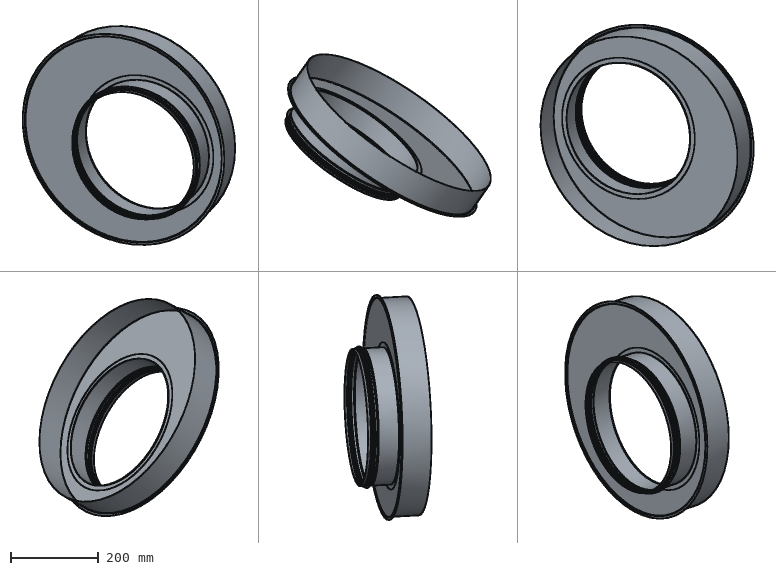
import cadquery as cq

SHEET = 0.5
PLATE_THICKNESS = 1.5
COLLAR_OFFSET = 61.5

SLEEVE_OUTER_R = 501.5 / 2
SLEEVE_INNER_R = SLEEVE_OUTER_R - SHEET
HEM_OUTER_R = 515.5 / 2
HEM_LIP_INNER_R = 503.5 / 2
HEM_FRONT_Y = -SHEET
HEM_BACK_Y = PLATE_THICKNESS + SHEET
HEM_BEND_R = (HEM_BACK_Y - HEM_FRONT_Y) / 2
PLATE_EDGE_BEND_R = HEM_BEND_R - SHEET
PLATE_R = HEM_OUTER_R - SHEET

COLLAR_OUTER_R = 315.0 / 2
COLLAR_INNER_R = COLLAR_OUTER_R - SHEET
COLLAR_FLANGE_R = 337.5 / 2
GROOVE_R = 310.5 / 2
MOUTH_LIP_R = 308.5 / 2
MOUTH_BEND = 2.0

TOTAL_LENGTH = 142.0
COLLAR_LENGTH = 71.5
MOUTH_Y = -COLLAR_LENGTH
SLEEVE_END_Y = MOUTH_Y + TOTAL_LENGTH
GROOVE_START_Y = MOUTH_Y + 25.0
GROOVE_FLOOR_START_Y = MOUTH_Y + 22.0
GROOVE_FLOOR_END_Y = MOUTH_Y + 8.0
GROOVE_END_Y = MOUTH_Y + 6.5

SEAL_R = 313.0 / 2
TALL_FIN_R = 324.5 / 2
SHORT_FIN_R = 319.0 / 2
FIN_WIDTH = 1.5
SEAL_START_Y = MOUTH_Y + 16.5
SHORT_FIN_Y = MOUTH_Y + 11.5
SHORT_FIN_ROOT_Y = GROOVE_FLOOR_END_Y


def revolve_about_y(profile):
    """Turn a closed (radius, Y) profile around the Y axis."""
    return profile.close().revolve(360, (0, 0, 0), (0, 1, 0))


def make_sleeve():
    middle_y = PLATE_THICKNESS / 2
    profile = (
        cq.Workplane("XY")
        .moveTo(SLEEVE_INNER_R, SLEEVE_END_Y)
        .lineTo(SLEEVE_OUTER_R, SLEEVE_END_Y)
        .lineTo(SLEEVE_OUTER_R, HEM_BACK_Y)
        .lineTo(HEM_OUTER_R - HEM_BEND_R, HEM_BACK_Y)
        .threePointArc((HEM_OUTER_R, middle_y), (HEM_OUTER_R - HEM_BEND_R, HEM_FRONT_Y))
        .lineTo(HEM_LIP_INNER_R, HEM_FRONT_Y)
        .lineTo(HEM_LIP_INNER_R, 0)
        .lineTo(PLATE_R - PLATE_EDGE_BEND_R, 0)
        .threePointArc((PLATE_R, middle_y), (PLATE_R - PLATE_EDGE_BEND_R, PLATE_THICKNESS))
        .lineTo(SLEEVE_INNER_R, PLATE_THICKNESS)
    )
    return revolve_about_y(profile)


def make_end_plate():
    rim_r = PLATE_R - PLATE_EDGE_BEND_R
    profile = (
        cq.Workplane("XY")
        .lineTo(rim_r, 0)
        .threePointArc((PLATE_R, PLATE_THICKNESS / 2), (rim_r, PLATE_THICKNESS))
        .lineTo(0, PLATE_THICKNESS)
    )
    opening = (
        cq.Workplane("XZ", origin=(COLLAR_OFFSET, PLATE_THICKNESS, 0))
        .circle(COLLAR_INNER_R)
        .extrude(PLATE_THICKNESS)
    )
    return revolve_about_y(profile).cut(opening)


def make_collar():
    profile = (
        cq.Workplane("XY")
        .moveTo(COLLAR_INNER_R, 0)
        .lineTo(COLLAR_FLANGE_R, 0)
        .lineTo(COLLAR_FLANGE_R, -SHEET)
        .lineTo(COLLAR_OUTER_R, -SHEET)
        .lineTo(COLLAR_OUTER_R, GROOVE_START_Y)
        .lineTo(GROOVE_R, GROOVE_FLOOR_START_Y)
        .lineTo(GROOVE_R, GROOVE_FLOOR_END_Y)
        .lineTo(COLLAR_OUTER_R, GROOVE_END_Y)
        .lineTo(COLLAR_OUTER_R, MOUTH_Y + MOUTH_BEND)
        .radiusArc((COLLAR_OUTER_R - MOUTH_BEND, MOUTH_Y), MOUTH_BEND)
        .lineTo(MOUTH_LIP_R, MOUTH_Y)
        .lineTo(MOUTH_LIP_R, MOUTH_Y + SHEET)
        .lineTo(COLLAR_OUTER_R - MOUTH_BEND, MOUTH_Y + SHEET)
        .radiusArc((COLLAR_INNER_R, MOUTH_Y + MOUTH_BEND), -(MOUTH_BEND - SHEET))
        .lineTo(COLLAR_INNER_R, GROOVE_END_Y - SHEET)
        .lineTo(GROOVE_R - SHEET, GROOVE_FLOOR_END_Y - SHEET)
        .lineTo(GROOVE_R - SHEET, GROOVE_FLOOR_START_Y + SHEET)
        .lineTo(COLLAR_INNER_R, GROOVE_START_Y + SHEET)
    )
    return revolve_about_y(profile).translate((COLLAR_OFFSET, 0, 0))


def make_seal():
    profile = (
        cq.Workplane("XY")
        .moveTo(GROOVE_R, SEAL_START_Y)
        .lineTo(TALL_FIN_R, SEAL_START_Y)
        .lineTo(TALL_FIN_R, SEAL_START_Y - FIN_WIDTH)
        .lineTo(SEAL_R, SEAL_START_Y - FIN_WIDTH)
        .lineTo(SEAL_R, SHORT_FIN_Y)
        .lineTo(SHORT_FIN_R, SHORT_FIN_Y)
        .lineTo(SHORT_FIN_R, SHORT_FIN_Y - FIN_WIDTH)
        .lineTo(SEAL_R, SHORT_FIN_ROOT_Y)
        .lineTo(GROOVE_R, SHORT_FIN_ROOT_Y)
    )
    return revolve_about_y(profile).translate((COLLAR_OFFSET, 0, 0))


sleeve = make_sleeve()
end_plate = make_end_plate()
collar = make_collar()
seal = make_seal()

result = cq.Compound.makeCompound(
    [sleeve.val(), end_plate.val(), collar.val(), seal.val()]
)